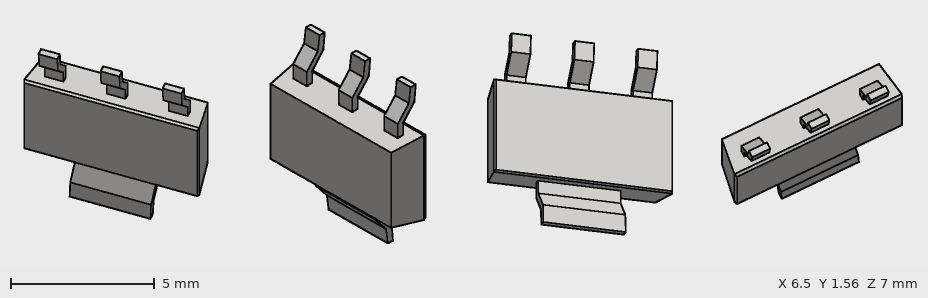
import cadquery as cq

belt_width = 6.5
belt_height = 3.5
body_depth = 1.5
front_bevel_depth = 0.12
front_inset = 0.04
back_inset = 0.195
belt_depth = body_depth - front_bevel_depth

half_span = 3.5
lead_thickness = 0.25
lead_back_depth = 0.7
lead_front_depth = lead_back_depth + lead_thickness
foot_tip_front_depth = 1.56
foot_tip_back_depth = foot_tip_front_depth - lead_thickness
foot_knee_front_depth = body_depth
foot_knee_back_depth = 1.225
foot_knee_back_z = half_span - 0.63
foot_knee_front_z = half_span - 0.68
shoulder_back_z = half_span - 1.25
shoulder_front_z = half_span - 1.34
lead_root_z = 1.4

pin_width = 0.7
pin_pitch = 2.3
tab_width = 3.0


def body_outline(depth, inset):
    """Body outline shrunk by an inset, placed at a depth and facing forward (-Y)."""
    return (
        cq.Workplane("XZ", origin=(0, -depth, 0))
        .rect(belt_width - 2 * inset, belt_height - 2 * inset)
    )


def make_body():
    back = (
        body_outline(0, back_inset)
        .workplane(offset=belt_depth)
        .rect(belt_width, belt_height)
        .loft(ruled=True)
    )
    front = (
        body_outline(belt_depth, 0)
        .workplane(offset=front_bevel_depth)
        .rect(belt_width - 2 * front_inset, belt_height - 2 * front_inset)
        .loft(ruled=True)
    )
    return back.union(front)


def make_lead(width, center_x, side):
    """Bent strip leaving the body upward (side = 1) or downward (side = -1)."""
    profile = [
        (lead_back_depth, lead_root_z),
        (lead_back_depth, shoulder_back_z),
        (foot_knee_back_depth, foot_knee_back_z),
        (foot_tip_back_depth, half_span),
        (foot_tip_front_depth, half_span),
        (foot_knee_front_depth, foot_knee_front_z),
        (lead_front_depth, shoulder_front_z),
        (lead_front_depth, lead_root_z),
    ]
    return (
        cq.Workplane("YZ", origin=(center_x, 0, 0))
        .polyline([(-depth, side * z) for depth, z in profile])
        .close()
        .extrude(width / 2, both=True)
    )


result = make_body()
for center_x in (-pin_pitch, 0, pin_pitch):
    result = result.union(make_lead(pin_width, center_x, 1))
result = result.union(make_lead(tab_width, 0, -1))